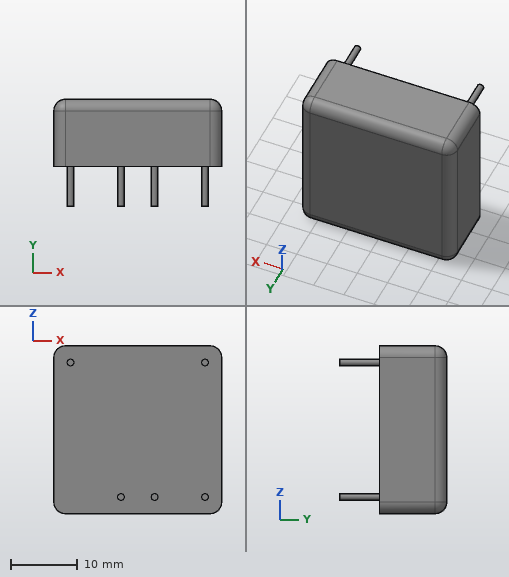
import cadquery as cq

case_side = 25.4
case_depth = 10.2
edge_radius = 1.8

pin_diameter = 1.02
pin_length = 6.0
pin_pitch = 2.55
pin_grid = [(-4, 4), (4, 4), (-1, -4), (1, -4), (4, -4)]


def make_case():
    """Case with its flat pin face on Y = 0 and its rounded back toward +Y."""
    block = cq.Workplane("XZ").rect(case_side, case_side).extrude(-case_depth)
    return block.edges("|Y or >Y").fillet(edge_radius)


def make_pins():
    """Round pins standing out of the pin face toward -Y."""
    pin_places = [(column * pin_pitch, row * pin_pitch) for column, row in pin_grid]
    return cq.Workplane("XZ").pushPoints(pin_places).circle(pin_diameter / 2).extrude(pin_length)


result = make_case().union(make_pins())